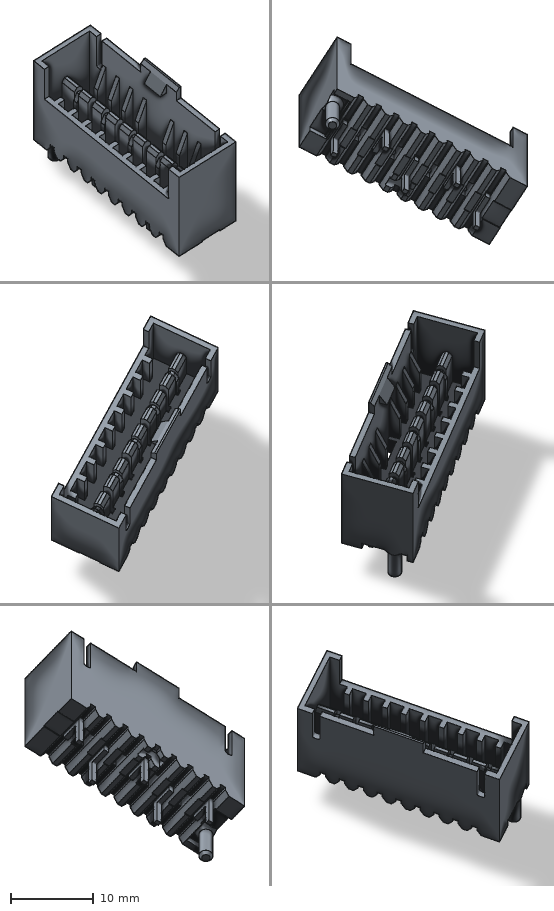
import cadquery as cq

length = 26.7
depth = 9.2
wall_top = 13.62
end_wall = 0.7
side_wall = 0.75
floor_top = 2.67
inner_y = depth / 2 - side_wall
inner_x = length / 2 - end_wall

position_count = 9
position_span = 20.0
pitch = position_span / (position_count - 1)
middle = position_count // 2
positions = [pitch * (i - middle) for i in range(position_count)]
slot_width = 0.72
slot_depth = 1.95

window_half = 11.37
window_sill = 8.46
slit_width = 1.0
slit_radius = 0.32

tab_width = 6.55
tab_top = 15.57
tab_chamfer = 0.5
latch_width = 2.96
latch_reach = 1.01
latch_opening_width = 3.35
latch_opening_depth = 1.1

ridge_width = 1.28
ridge_top = 8.28
ridge_chamfer = 0.43
ridge_chamfer_height = 0.5

front_rib_reach = 1.01
rear_rib_width = 0.65
rear_rib_reach = 1.3
rear_rib_top = 9.55
rear_rib_shoulder = 6.5

notch_mouth = 1.87
notch_flank_top = 0.88
notch_top = 1.35

recess_front = -3.85
recess_rear = 2.0
recess_height = 1.01
recess_end = -11.21
step_height = 0.5
step_end = -11.0
channel_height = 0.2

peg_diameter = 1.7
peg_x = -12.47
peg_y = -1.95
peg_bottom = -4.33
peg_chamfer = 0.35
peg_chamfer_height = 0.43
flare_bottom = 0.35
flare_radius = 1.35

contact_width = 0.65
blade_half = 0.8
blade_tip_half = 0.27
blade_shoulder = 6.5
blade_top = 7.53
tail_y = 1.92
tail_thickness = 0.7
tail_bottom = -3.3
tail_taper = 0.08
tail_taper_height = 0.3
bend_radius = 0.13
plug_bottom = 1.28
plug_top = 2.4


def block(x_range, y_range, z_range):
    """Box between the given limits."""
    sizes = [high - low for low, high in (x_range, y_range, z_range)]
    corner = (x_range[0], y_range[0], z_range[0])
    return cq.Workplane("XY").box(*sizes, centered=False).translate(corner)


def across(points, width, x=0.0):
    """YZ outline given width along X, centred on x."""
    return cq.Workplane("YZ", origin=(x - width / 2, 0, 0)).polyline(points).close().extrude(width)


def shell():
    body = block((-length / 2, length / 2), (-depth / 2, depth / 2), (0, wall_top))
    body = body.cut(block((-inner_x, inner_x), (-inner_y, inner_y), (floor_top, wall_top)))
    window = block((-window_half, window_half), (-depth / 2, -inner_y), (window_sill, wall_top))
    body = body.cut(window)
    for outer in (-window_half, window_half - slit_width):
        slit = block((outer, outer + slit_width), (inner_y, depth / 2), (window_sill, wall_top))
        body = body.cut(slit.edges("|Y and <Z").fillet(slit_radius))
    return body


def latch():
    shoulder = tab_top - tab_chamfer
    tab = across(
        [
            (inner_y, wall_top),
            (depth / 2, wall_top),
            (depth / 2, tab_top),
            (inner_y + tab_chamfer, tab_top),
            (inner_y, shoulder),
        ],
        tab_width,
    )
    hook = across(
        [(inner_y, wall_top), (inner_y, shoulder), (inner_y - latch_reach, wall_top)],
        latch_width,
    )
    return tab.union(hook)


def ridge():
    half = ridge_width / 2
    shoulder = ridge_top - ridge_chamfer_height
    outline = [
        (-half, floor_top),
        (-half, shoulder),
        (-half + ridge_chamfer, ridge_top),
        (half - ridge_chamfer, ridge_top),
        (half, shoulder),
        (half, floor_top),
    ]
    return across(outline, 2 * inner_x)


def front_rib(x):
    half = slot_width / 2
    return block((x - half, x + half), (-inner_y, front_rib_reach - inner_y), (floor_top, window_sill))


def rear_rib(x):
    tip = inner_y - rear_rib_reach
    outline = [
        (inner_y, floor_top),
        (inner_y, rear_rib_top),
        (tip, rear_rib_shoulder),
        (tip, floor_top),
    ]
    return across(outline, rear_rib_width, x)


def contact_slot(x):
    half = slot_width / 2
    return block((x - half, x + half), (-slot_depth / 2, slot_depth / 2), (0, ridge_top))


def underside_notch(x):
    mouth = notch_mouth / 2
    throat = slot_width / 2
    outline = [
        (x - mouth, 0),
        (x - throat, notch_flank_top),
        (x - throat, notch_top),
        (x + throat, notch_top),
        (x + throat, notch_flank_top),
        (x + mouth, 0),
    ]
    return cq.Workplane("XZ", origin=(0, depth / 2, 0)).polyline(outline).close().extrude(depth)


def peg():
    radius = peg_diameter / 2
    outline = [
        (0, peg_bottom),
        (radius - peg_chamfer, peg_bottom),
        (radius, peg_bottom + peg_chamfer_height),
        (radius, flare_bottom),
        (flare_radius, recess_height),
        (0, recess_height),
    ]
    turned = cq.Workplane("XZ").polyline(outline).close().revolve(360, (0, 0), (0, 1))
    turned = turned.translate((peg_x, peg_y, 0))
    limit = block(
        (-length / 2, peg_x + flare_radius),
        (peg_y - flare_radius, -blade_half),
        (peg_bottom, recess_height),
    )
    return turned.intersect(limit)


def contact(x, side):
    """Blade through the floor with its tail bent towards side (+1 rear, -1 front)."""
    tail_in = tail_y - tail_thickness / 2
    tail_out = tail_y + tail_thickness / 2
    outline = [
        (-blade_half, channel_height),
        (-blade_half, blade_shoulder),
        (-blade_tip_half, blade_top),
        (blade_tip_half, blade_top),
        (blade_half, blade_shoulder),
        (blade_half, plug_bottom),
        (tail_out, plug_bottom),
        (tail_out, tail_bottom + tail_taper_height),
        (tail_out - tail_taper, tail_bottom),
        (tail_in + tail_taper, tail_bottom),
        (tail_in, tail_bottom + tail_taper_height),
        (tail_in, channel_height),
    ]
    strip = across([(side * y, z) for y, z in outline], contact_width, x)
    bend = cq.selectors.NearestToPointSelector((x, side * tail_in, channel_height))
    strip = strip.edges("|X").edges(bend).fillet(bend_radius)
    half = slot_width / 2
    plug = block((x - half, x + half), (-slot_depth / 2, slot_depth / 2), (plug_bottom, plug_top))
    return strip.union(plug)


result = shell().union(latch()).union(ridge())
for x in positions:
    result = result.union(front_rib(x))
    if x != 0:
        result = result.union(rear_rib(x))

for x in positions:
    result = result.cut(contact_slot(x)).cut(underside_notch(x))

recess = block((-length / 2, recess_end), (recess_front, recess_rear), (0, recess_height))
recess_step = block((-length / 2, step_end), (recess_front, recess_rear), (0, step_height))
channel = block((step_end, length / 2), (-blade_half, recess_rear), (0, channel_height))
latch_opening = block(
    (-latch_opening_width / 2, latch_opening_width / 2),
    (inner_y - latch_opening_depth, inner_y),
    (0, floor_top),
)
result = result.cut(recess).cut(recess_step).cut(channel).cut(latch_opening)

result = result.union(peg())
for index, x in enumerate(positions[::2]):
    side = 1 if index % 2 == 0 else -1
    result = result.union(contact(x, side))